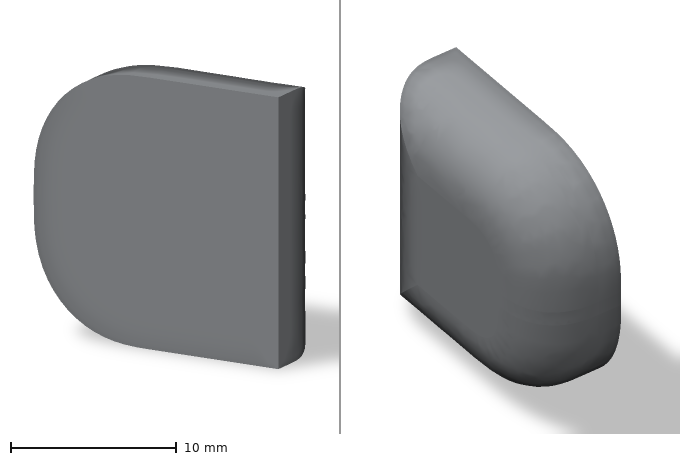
import cadquery as cq

side = 17.0
thickness = 6.02
rim_height = 1.67
corner_size = 8.0
round_over = thickness - rim_height

inner_handle = 0.35
outer_handle = 0.71

half = side / 2
overrun = 1.7
clearance = 0.17


def blend_points(corner, start_direction, end_direction, reach):
    """Bezier control points for a smooth blend around a sharp corner."""

    def along(direction, fraction):
        return tuple(c + d * reach * fraction for c, d in zip(corner, direction))

    fractions = (1.0, outer_handle, inner_handle)
    start_side = [along(start_direction, f) for f in fractions]
    end_side = [along(end_direction, f) for f in reversed(fractions)]
    return start_side + end_side


def outline(right_x):
    """U-shaped outline in XZ, from the upper right around -X to the lower right."""
    upper = blend_points((-half, half), (1, 0), (0, -1), corner_size)
    lower = blend_points((-half, -half), (0, 1), (1, 0), corner_size)
    return (
        cq.Workplane("XZ")
        .moveTo(right_x, half)
        .lineTo(*upper[0])
        .bezier(upper)
        .lineTo(*lower[0])
        .bezier(lower)
        .lineTo(right_x, -half)
    )


def edge_waste(plane):
    """Section of the material outside the rounded back edge.

    Local x points outward from the side wall and local y points toward +Y.
    """
    curve = blend_points((0, thickness), (0, -1), (-1, 0), round_over)
    return (
        cq.Workplane(plane)
        .moveTo(*curve[0])
        .bezier(curve)
        .lineTo(-round_over, thickness + clearance)
        .lineTo(clearance, thickness + clearance)
        .lineTo(clearance, rim_height)
        .close()
    )


plate = outline(half).close().extrude(-thickness)

start_x = half + overrun
u_section = cq.Plane(origin=(start_x, 0, half), xDir=(0, 0, 1), normal=(-1, 0, 0))
u_cutter = edge_waste(u_section).sweep(outline(start_x).wire(), isFrenet=True)

x_section = cq.Plane(origin=(half, 0, -half - overrun), xDir=(1, 0, 0), normal=(0, 0, 1))
x_cutter = edge_waste(x_section).extrude(side + 2 * overrun)

result = plate.cut(u_cutter).cut(x_cutter)